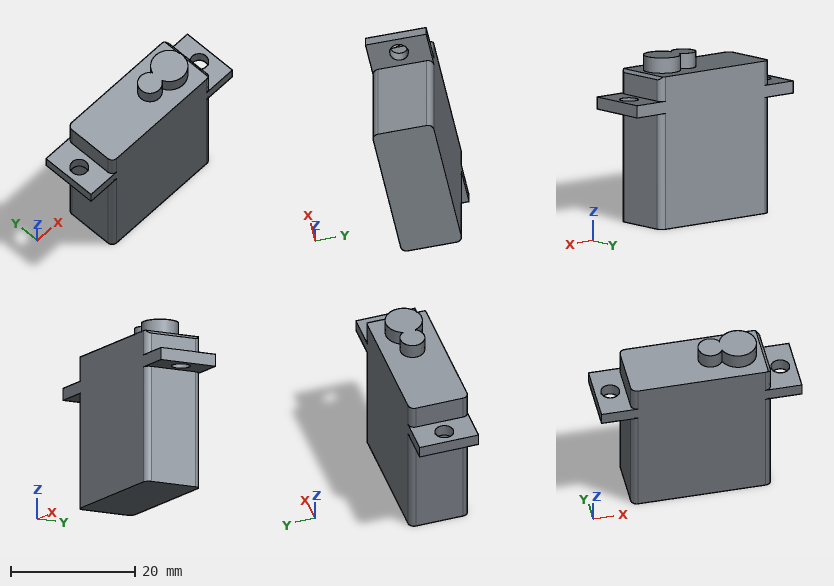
import cadquery as cq

case_length = 23.0
case_width = 10.0
case_height = 25.0
corner_radius = 1.0
top_edge_chamfer = 0.5

flange_length = 33.0
flange_thickness = 2.0
flange_bottom = 19.0
screw_hole_diameter = 3.0
screw_hole_spacing = 28.0

boss_height = 2.5
large_boss_diameter = 6.0
large_boss_x = 7.0
small_boss_diameter = 4.0
small_boss_x = 2.5


def make_case():
    """Block with rounded upright corners and a chamfered +X top edge."""
    block = cq.Workplane("XY").rect(case_length, case_width).extrude(case_height)
    rounded = block.edges("|Z").fillet(corner_radius)
    return rounded.cut(make_chamfer_wedge())


def make_chamfer_wedge():
    """Triangular prism removed along the straight +X top edge."""
    end_x = case_length / 2
    return (
        cq.Workplane("XZ")
        .moveTo(end_x, case_height)
        .lineTo(end_x - top_edge_chamfer, case_height)
        .lineTo(end_x, case_height - top_edge_chamfer)
        .close()
        .extrude(case_width / 2, both=True)
    )


def make_flange():
    """Flat plate through the case with one screw hole at each end."""
    return (
        cq.Workplane("XY", origin=(0, 0, flange_bottom))
        .rect(flange_length, case_width)
        .rarray(screw_hole_spacing, 1, 2, 1)
        .circle(screw_hole_diameter / 2)
        .extrude(flange_thickness)
    )


def make_boss(center_x, diameter):
    """Round boss standing on the case top."""
    return (
        cq.Workplane("XY", origin=(center_x, 0, case_height))
        .circle(diameter / 2)
        .extrude(boss_height)
    )


result = (
    make_case()
    .union(make_flange())
    .union(make_boss(large_boss_x, large_boss_diameter))
    .union(make_boss(small_boss_x, small_boss_diameter))
)